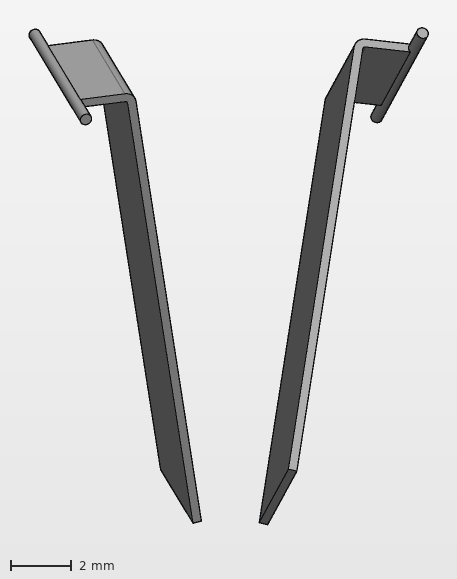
import cadquery as cq
import math

overall_height = 16.33
pin_length = 6.3
pin_diameter = 0.4
strip_width = 4.0
thickness = 0.3
inner_bend_radius = 0.1
arm_length = 1.65
leg_tilt = 8.0

outer_bend_radius = inner_bend_radius + thickness
bend_center_y = arm_length
bend_center_z = thickness / 2 - outer_bend_radius

foot_z = pin_diameter / 2 - overall_height
tilt = math.radians(leg_tilt)
inner_leg_top_z = bend_center_z + inner_bend_radius * math.sin(tilt)
leg_length = (inner_leg_top_z - foot_z) / math.cos(tilt)


def bend_point(radius, angle):
    """Point around the bend axis at an angle in degrees above +Y."""
    a = math.radians(angle)
    return (bend_center_y + radius * math.cos(a), bend_center_z + radius * math.sin(a))


def leg_end(start):
    """Point at the foot of the sloping leg, below a point where the bend ends."""
    return (start[0] + leg_length * math.sin(tilt), start[1] - leg_length * math.cos(tilt))


def bent_strip():
    """Horizontal arm, rounded bend and sloping leg as one strip."""
    mid_angle = (90 + leg_tilt) / 2
    outer_leg_top = bend_point(outer_bend_radius, leg_tilt)
    inner_leg_top = bend_point(inner_bend_radius, leg_tilt)
    return (
        cq.Workplane("YZ")
        .moveTo(0, thickness / 2)
        .lineTo(arm_length, thickness / 2)
        .threePointArc(bend_point(outer_bend_radius, mid_angle), outer_leg_top)
        .lineTo(*leg_end(outer_leg_top))
        .lineTo(*leg_end(inner_leg_top))
        .lineTo(*inner_leg_top)
        .threePointArc(bend_point(inner_bend_radius, mid_angle), (arm_length, -thickness / 2))
        .lineTo(0, -thickness / 2)
        .close()
        .extrude(strip_width / 2, both=True)
    )


def pin():
    """Round cross pin at the free end of the arm."""
    return cq.Workplane("YZ").circle(pin_diameter / 2).extrude(pin_length / 2, both=True)


result = bent_strip().union(pin())